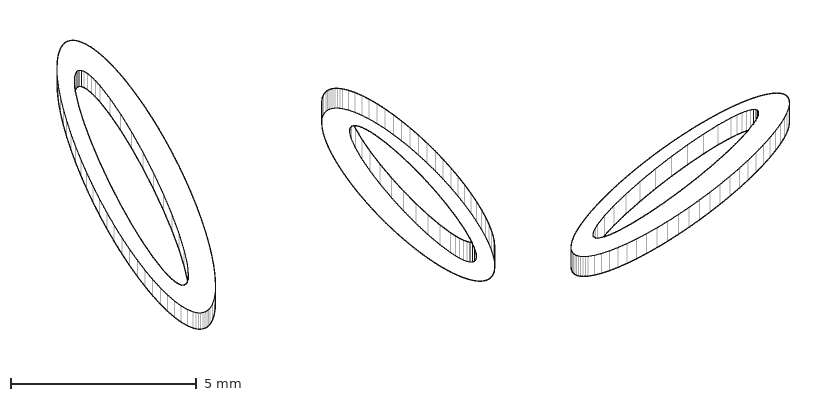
import cadquery as cq
import math

STEPS = 128

OUTER_LENGTH = 11.47
OUTER_WIDTH = 2.45
OUTER_FLANK_STRIDE = 2
OUTER_END_STRIDE = 1
OUTER_END_STEPS = 4

OPENING_LENGTH = 9.05
OPENING_WIDTH = 1.25
OPENING_SHIFT = -0.14
OPENING_FLANK_STRIDE = 4
OPENING_END_STRIDE = 2
OPENING_END_STEPS = 12

THICKNESS = 0.6


def ellipse_corner(length, width, step):
    """Point on an ellipse, centred on the origin."""
    angle = 2 * math.pi * step / STEPS
    return (length / 2 * math.sin(angle), width / 2 * math.cos(angle))


def corner_steps(flank_stride, end_stride, end_steps):
    """Steps that carry a corner, with shorter facets around both X tips."""
    half_turn = STEPS // 2
    first_tip = STEPS // 4
    kept = []
    for step in range(STEPS):
        from_tip = abs(step % half_turn - first_tip)
        stride = end_stride if from_tip < end_steps else flank_stride
        if step % stride == 0:
            kept.append(step)
    return kept


def elliptical_prism(length, width, steps, center_y=0):
    corners = [ellipse_corner(length, width, step) for step in steps]
    base = cq.Workplane("XY").center(0, center_y)
    return base.polyline(corners).close().extrude(THICKNESS)


outer_steps = corner_steps(OUTER_FLANK_STRIDE, OUTER_END_STRIDE, OUTER_END_STEPS)
ring_blank = elliptical_prism(OUTER_LENGTH, OUTER_WIDTH, outer_steps)

opening_steps = corner_steps(OPENING_FLANK_STRIDE, OPENING_END_STRIDE, OPENING_END_STEPS)
opening = elliptical_prism(OPENING_LENGTH, OPENING_WIDTH, opening_steps, OPENING_SHIFT)

result = ring_blank.cut(opening)